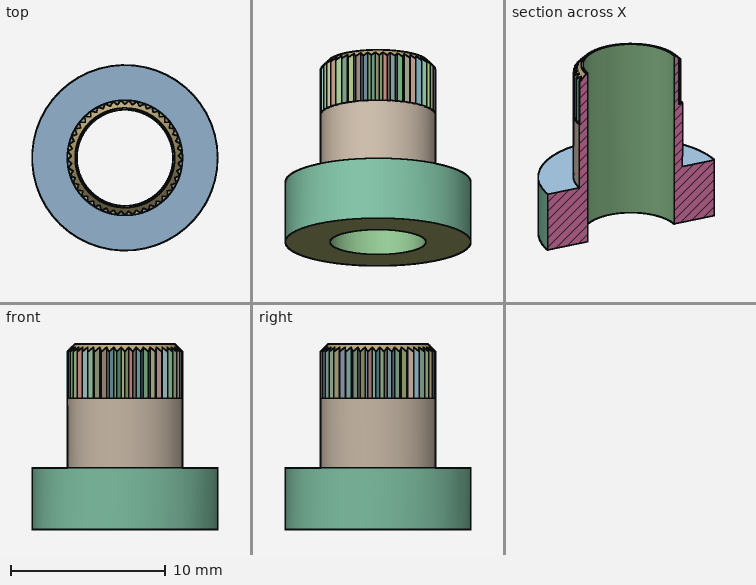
import cadquery as cq
import math

flange_diameter = 12.0
flange_height = 4.0
total_height = 12.0
sleeve_diameter = 7.45
bore_diameter = 6.2
rim_chamfer = 0.5
knurl_length = 3.5
knurl_count = 45
knurl_depth = 0.27
first_groove_angle = 90.0

sleeve_radius = sleeve_diameter / 2
root_radius = sleeve_radius - knurl_depth
knurl_bottom = total_height - knurl_length
pitch_angle = 360.0 / knurl_count
groove_half_angle = math.radians(pitch_angle / 2)


def make_body():
    """Flange with a plain sleeve standing on it, chamfered at the rim."""
    flange = cq.Workplane("XY").circle(flange_diameter / 2).extrude(flange_height)
    sleeve = cq.Workplane("XY").circle(sleeve_radius).extrude(total_height)
    sleeve = sleeve.faces(">Z").chamfer(rim_chamfer)
    return flange.union(sleeve)


def polar_point(radius, angle):
    return (radius * math.cos(angle), radius * math.sin(angle))


def make_knurl_cutter():
    """Ring whose inner outline follows the sharp V-teeth of the knurl."""
    outline = []
    for index in range(knurl_count):
        root_angle = math.radians(first_groove_angle + index * pitch_angle)
        outline.append(polar_point(root_radius, root_angle))
        outline.append(polar_point(sleeve_radius, root_angle + groove_half_angle))
    knurl_plane = cq.Workplane("XY").workplane(offset=knurl_bottom)
    toothed_core = knurl_plane.polyline(outline).close().extrude(knurl_length)
    return knurl_plane.circle(flange_diameter / 2).extrude(knurl_length).cut(toothed_core)


bore = cq.Workplane("XY").circle(bore_diameter / 2).extrude(total_height)
result = make_body().cut(make_knurl_cutter()).cut(bore)